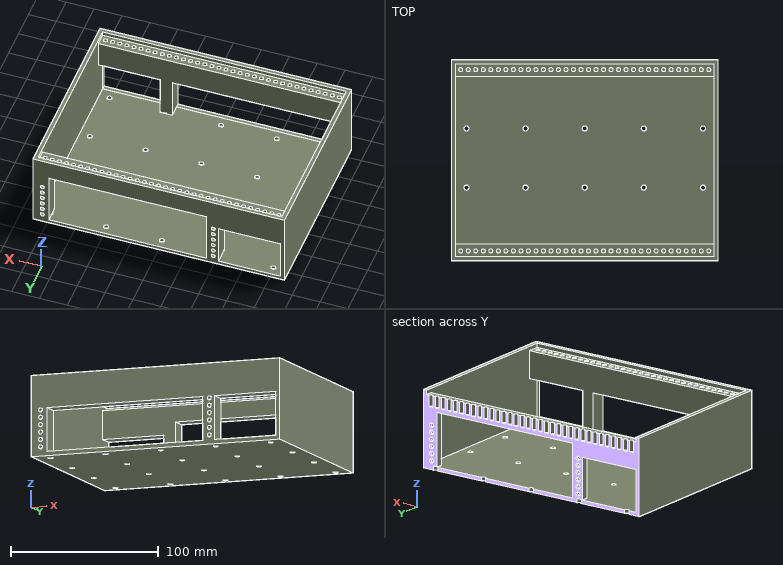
import cadquery as cq

LENGTH = 180.5
WIDTH = 136.0
HEIGHT = 56.0
WALL = 2.9
FLOOR = WALL

RAIL_DEPTH = 8.7
RAIL_RECESS = 3.0
RAIL_EDGE = WALL + RAIL_DEPTH
RAIL_TOP = HEIGHT - RAIL_RECESS

LARGE_OPENING = (RAIL_EDGE, WIDTH - RAIL_EDGE)
SMALL_OPENING = (WIDTH - WALL, LENGTH - WALL)
OPENING_TOP = 33.0
TALL_OPENING_TOP = 41.5
LIP_STEP = 0.09

SCREW_DIAMETER = 2.7
SCREW_DEPTH = 8.1
SCREW_ROW_SPACING = 122.5
RAIL_SCREWS = 34
RAIL_SCREW_SPAN = 167.6
SCREW_PITCH = RAIL_SCREW_SPAN / (RAIL_SCREWS - 1)
POST_SCREWS = 6
POST_SCREW_MID_Z = 19.1

FLOOR_HOLE_DIAMETER = 3.2
FLOOR_HOLE_COLUMNS = 5
FLOOR_HOLE_ROWS = 4
FLOOR_HOLE_SPAN = 159.9
FLOOR_HOLE_PITCH = FLOOR_HOLE_SPAN / (FLOOR_HOLE_COLUMNS - 1)
FLOOR_HOLE_SHIFT_Y = 1.53


def box(x_min, x_max, y_min, y_max, z_min, z_max):
    """Axis-aligned block given by its limits."""
    size = (x_max - x_min, y_max - y_min, z_max - z_min)
    return cq.Workplane("XY").box(*size, centered=False).translate((x_min, y_min, z_min))


def shell():
    """Open-topped case with solid long sides whose rail tops sit below the rim."""
    body = box(0, LENGTH, 0, WIDTH, 0, HEIGHT)
    cavity = box(WALL, LENGTH - WALL, RAIL_EDGE, WIDTH - RAIL_EDGE, FLOOR, HEIGHT)
    rail_recess = box(WALL, LENGTH - WALL, WALL, WIDTH - WALL, RAIL_TOP, HEIGHT)
    return body.cut(cavity).cut(rail_recess)


def bay_openings(large_top):
    """Two openings through the -Y side, the large one rising to large_top."""
    large = box(*LARGE_OPENING, 0, RAIL_EDGE, FLOOR, large_top)
    small = box(*SMALL_OPENING, 0, RAIL_EDGE, FLOOR, OPENING_TOP)
    return large.union(small)


def front_lip():
    """Shallow lip along the floor and the +X end wall in the mouths of the -Y openings."""
    floor_lip = box(WALL, LENGTH - WALL, 0, WALL, 0, FLOOR + LIP_STEP)
    wall_lip = box(LENGTH - WALL - LIP_STEP, LENGTH, 0, WALL, 0, OPENING_TOP)
    return floor_lip.union(wall_lip)


def post_screws():
    """Blind screw holes into the two posts of the -Y side."""
    return (
        cq.Workplane("XZ", origin=(WIDTH / 2, 0, POST_SCREW_MID_Z))
        .rarray(SCREW_ROW_SPACING, SCREW_PITCH, 2, POST_SCREWS)
        .circle(SCREW_DIAMETER / 2)
        .extrude(-SCREW_DEPTH)
    )


def rail_screws():
    """Blind screw holes down into the tops of both rails."""
    return (
        cq.Workplane("XY", origin=(LENGTH / 2, WIDTH / 2, RAIL_TOP))
        .rarray(SCREW_PITCH, SCREW_ROW_SPACING, RAIL_SCREWS, 2)
        .circle(SCREW_DIAMETER / 2)
        .extrude(-SCREW_DEPTH)
    )


def floor_holes():
    """Grid of holes through the floor; the outer rows lie beneath the rails."""
    return (
        cq.Workplane("XY", origin=(LENGTH / 2, WIDTH / 2 + FLOOR_HOLE_SHIFT_Y, 0))
        .rarray(FLOOR_HOLE_PITCH, FLOOR_HOLE_PITCH, FLOOR_HOLE_COLUMNS, FLOOR_HOLE_ROWS)
        .circle(FLOOR_HOLE_DIAMETER / 2)
        .extrude(FLOOR)
    )


def half_turn(cutter):
    """Carry a cutter from the -Y side to the +Y side by half a turn about the case centre."""
    return cutter.rotate((LENGTH / 2, WIDTH / 2, 0), (LENGTH / 2, WIDTH / 2, 1), 180)


result = (
    shell()
    .cut(bay_openings(OPENING_TOP))
    .cut(half_turn(bay_openings(TALL_OPENING_TOP)))
    .union(front_lip())
    .cut(post_screws())
    .cut(half_turn(post_screws()))
    .cut(rail_screws())
    .cut(floor_holes())
)